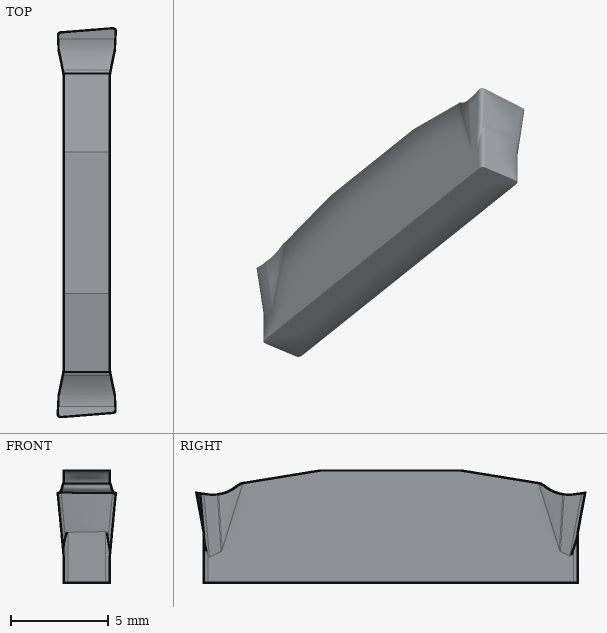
import cadquery as cq
import math

body_width = 2.38
body_end = 9.62
body_corner_radius = 0.22
half_body = body_width / 2

height = 5.78
crown_flat_end = 3.64
crown_edge_y, crown_edge_z = 7.68, 5.12
breaker_inner_y, breaker_inner_z = 7.85, 5.02
breaker_middle_y, breaker_middle_z = 8.65, 4.6
breaker_outer_y, breaker_outer_z = 9.44, 4.55
envelope_margin = 0.2
tip_y, tip_z = 10.0, 4.64

head_tip_width = 3.02
half_tip = head_tip_width / 2
side_relief = math.tan(math.radians(5))
back_relief = math.tan(math.radians(2.5))
corner_rounding_loss = 0.015
long_corner_y = tip_y + corner_rounding_loss
short_corner_y = 9.78
flank_foot_z = 2.6
head_corner_radius = 0.18
head_bottom_z = 1.2

facet_top_y, facet_top_z = 8.88, 4.58
facet_foot_y, facet_foot_z = 8.7, 1.75
facet_blend_radius = 0.35

back_end_y, back_end_z = 7.6, 5.12
buried_half_width = 0.1


def side_half_width(y, z):
    """Half width of the head on its side facet."""
    return half_tip + side_relief * (z - tip_z) + back_relief * (y - tip_y)


def interpolate(z, z0, value0, z1, value1):
    """Value at height z on the line through two known heights."""
    return value0 + (value1 - value0) * (z - z0) / (z1 - z0)


def back_facet_slope():
    """Change of half width per unit of Y on the back facet."""
    facet_y = interpolate(back_end_z, facet_foot_z, facet_foot_y, facet_top_z, facet_top_y)
    return (side_half_width(facet_y, back_end_z) - half_body) / (facet_y - back_end_y)


def head_section(z):
    """Horizontal section of the head at +Y, with the front corners rounded."""
    facet_y = interpolate(z, facet_foot_z, facet_foot_y, facet_top_z, facet_top_y)
    facet_x = side_half_width(facet_y, z)
    buried_y = facet_y - (facet_x - buried_half_width) / back_facet_slope()
    long_y = interpolate(z, flank_foot_z, body_end, tip_z, long_corner_y)
    short_y = interpolate(z, flank_foot_z, body_end, tip_z, short_corner_y)
    corners = [
        (-buried_half_width, buried_y), (-facet_x, facet_y), (-side_half_width(short_y, z), short_y),
        (side_half_width(long_y, z), long_y), (facet_x, facet_y), (buried_half_width, buried_y),
    ]
    wire = cq.Wire.makePolygon([cq.Vector(x, y, z) for x, y in corners], close=True)
    front_corners = [v for v in wire.Vertices() if v.Y > facet_y + head_corner_radius]
    wire = wire.fillet2D(head_corner_radius, front_corners)
    facet_edges = [v for v in wire.Vertices() if math.isclose(v.Y, facet_y, abs_tol=2e-07)]
    return wire.fillet2D(facet_blend_radius, facet_edges)


def make_body():
    body = cq.Workplane("XY").box(body_width, 2 * body_end, height, centered=(True, True, False))
    return body.edges("|Z").fillet(body_corner_radius)


def make_head():
    sections = [head_section(head_bottom_z), head_section(height)]
    return cq.Workplane(cq.Solid.makeLoft(sections, True))


def make_side_envelope():
    """Crown and chip breaker outline, extruded across the whole width."""
    reach = tip_y + envelope_margin
    tip_slope = (tip_z - breaker_outer_z) / (tip_y - breaker_outer_y)
    reach_z = tip_z + tip_slope * (reach - tip_y)
    half = (
        cq.Workplane("YZ").lineTo(reach, 0).lineTo(reach, reach_z)
        .lineTo(breaker_outer_y, breaker_outer_z)
        .threePointArc((breaker_middle_y, breaker_middle_z), (breaker_inner_y, breaker_inner_z))
        .lineTo(crown_edge_y, crown_edge_z)
        .lineTo(crown_flat_end, height).lineTo(0, height).close()
        .extrude(2 * half_tip, both=True)
    )
    return half.union(half.mirror("XZ"))


head = make_head()
opposite_head = head.rotate((0, 0, 0), (0, 0, 1), 180)
blank = make_body().union(head).union(opposite_head)
result = blank.intersect(make_side_envelope())